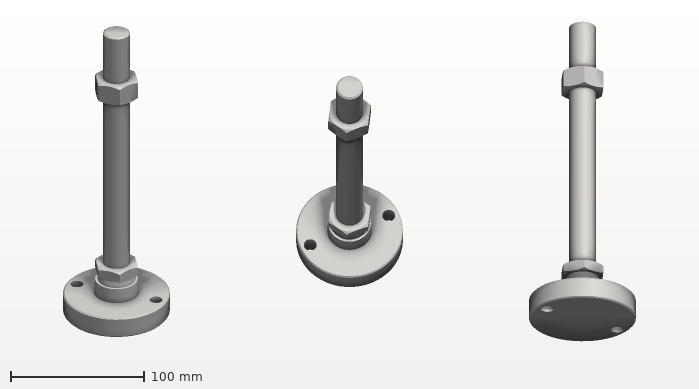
import cadquery as cq
import math

total_height = 242

plate_diameter = 80.0
plate_height = 16.5
plate_chamfer = 1.0
mount_hole_diameter = 9.7
mount_hole_offset = 32.0
socket_foot_radius = 16.7
socket_bulge_radius = 16.5
socket_rim_radius = 16.0
socket_top = 28.0

ball_radius = 14.3
ball_center_z = 26.4
rod_diameter = 20.0
rod_radius = rod_diameter / 2
rod_tip_inset = 1.5
rod_tip_height = 1.0
collar_bottom = 34.1
collar_height = 8.2

across_flats = 30.0
hex_chamfer_angle = 30

nut_bottom = 187.0
nut_height = 15.5


def make_hexagon(bottom, height):
    """Hexagonal prism, corners on X, with both ends turned to a conical chamfer."""
    corner_radius = across_flats / math.sqrt(3)
    flat_radius = across_flats / 2
    chamfer_height = (corner_radius - flat_radius) * math.tan(math.radians(hex_chamfer_angle))
    prism = cq.Workplane("XY").polygon(6, 2 * corner_radius).extrude(height)
    turned_blank = (
        cq.Workplane("XZ")
        .polyline([
            (0, 0),
            (flat_radius, 0),
            (corner_radius, chamfer_height),
            (corner_radius, height - chamfer_height),
            (flat_radius, height),
            (0, height),
        ])
        .close()
        .revolve(360, (0, 0), (0, 1))
    )
    return prism.intersect(turned_blank).translate((0, 0, bottom))


def make_ball():
    return cq.Workplane("XY").sphere(ball_radius).translate((0, 0, ball_center_z))


def make_base():
    plate = (
        cq.Workplane("XY")
        .circle(plate_diameter / 2)
        .extrude(plate_height)
        .edges()
        .chamfer(plate_chamfer)
    )
    socket = (
        cq.Workplane("XZ")
        .moveTo(0, plate_height)
        .lineTo(socket_foot_radius, plate_height)
        .threePointArc(
            (socket_bulge_radius, (plate_height + socket_top) / 2),
            (socket_rim_radius, socket_top),
        )
        .lineTo(0, socket_top)
        .close()
        .revolve(360, (0, 0), (0, 1))
    )
    mount_holes = (
        cq.Workplane("XY")
        .pushPoints([(-mount_hole_offset, 0), (mount_hole_offset, 0)])
        .circle(mount_hole_diameter / 2)
        .extrude(plate_height)
    )
    return plate.union(socket).cut(mount_holes).cut(make_ball())


def make_spindle():
    rod = (
        cq.Workplane("XZ")
        .moveTo(0, ball_center_z)
        .lineTo(rod_radius, ball_center_z)
        .lineTo(rod_radius, total_height - rod_tip_height)
        .lineTo(rod_radius - rod_tip_inset, total_height)
        .lineTo(0, total_height)
        .close()
        .revolve(360, (0, 0), (0, 1))
    )
    collar = make_hexagon(collar_bottom, collar_height)
    return make_ball().union(rod).union(collar)


def make_nut():
    bore = (
        cq.Workplane("XY")
        .circle(rod_radius)
        .extrude(nut_height)
        .translate((0, 0, nut_bottom))
    )
    return make_hexagon(nut_bottom, nut_height).cut(bore)


base = make_base()
spindle = make_spindle()
nut = make_nut()

result = cq.Compound.makeCompound([base.val(), spindle.val(), nut.val()])